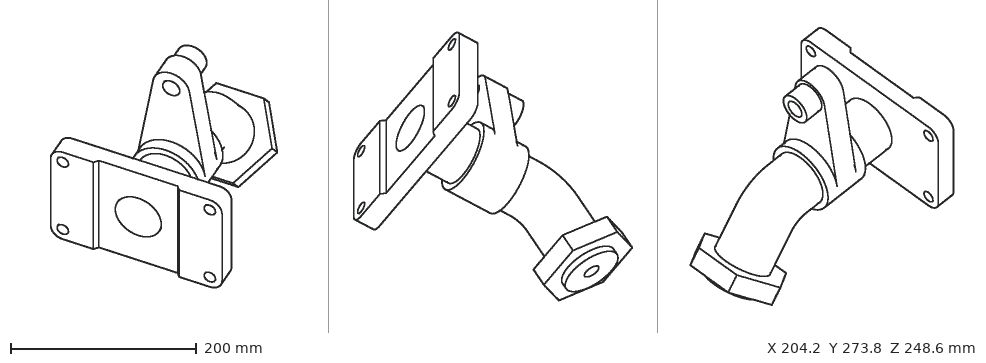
import cadquery as cq
import math

flange_width = 204.2
flange_height = 128.0
flange_thickness = 24.0
corner_radius = 14.5
bolt_hole_diameter = 13.5
bolt_span_x = flange_width - 2 * corner_radius
bolt_span_z = flange_height - 2 * corner_radius
channel_depth = 5.0
channel_floor_width = 93.5
channel_mouth_width = 102.5

pipe_radius = 33.0
straight_length = 152.5
bend_radius = 46.3
bend_angle = 52
tail_length = 82.7
socket_radius = 27.5
bore_radius = 9.0

hex_across_corners = 112.8
hex_thickness = 22.0
outlet_overhang = 7.5

collar_radius = 40.8
collar_start = 73.0
collar_length = 58.3
arm_thickness = 29.3
arm_start = collar_start + (collar_length - arm_thickness) / 2
arm_end = arm_start + arm_thickness
arm_tip_radius = 22.0
arm_tip_height = 119.5
boss_radius = 17.5
boss_length = 23.3
lever_hole_radius = 10.0

socket_depth = collar_start + collar_length

bend_radians = math.radians(bend_angle)
tail_y = straight_length + bend_radius * math.sin(bend_radians)
tail_z = -bend_radius * (1 - math.cos(bend_radians))
tail_direction = cq.Vector(0, math.cos(bend_radians), -math.sin(bend_radians))


def cylinder_y(radius, start, length, height=0):
    """Cylinder along +Y with its axis at the given Z height."""
    return cq.Workplane(
        cq.Solid.makeCylinder(radius, length, cq.Vector(0, start, height), cq.Vector(0, 1, 0))
    )


def bent_rod(radius):
    """Round rod that follows the centre line of the pipe."""
    straight = cylinder_y(radius, 0, straight_length)
    bend = (
        cq.Workplane("XZ", origin=(0, straight_length, 0))
        .circle(radius)
        .revolve(bend_angle, (2.7, -bend_radius), (-2.7, -bend_radius))
    )
    tail = cq.Solid.makeCylinder(radius, tail_length, cq.Vector(0, tail_y, tail_z), tail_direction)
    return straight.union(bend).union(cq.Workplane(tail))


def make_flange():
    """Rounded plate with four bolt holes and a vertical channel across its front face."""
    plate = (
        cq.Workplane("XZ")
        .rect(flange_width, flange_height)
        .extrude(-flange_thickness)
        .edges("|Y")
        .fillet(corner_radius)
    )
    bolt_holes = (
        cq.Workplane("XZ")
        .rect(bolt_span_x, bolt_span_z, forConstruction=True)
        .vertices()
        .circle(bolt_hole_diameter / 2)
        .extrude(-flange_thickness)
    )
    channel = (
        cq.Workplane("XY")
        .polyline([
            (-channel_mouth_width / 2, 0),
            (channel_mouth_width / 2, 0),
            (channel_floor_width / 2, channel_depth),
            (-channel_floor_width / 2, channel_depth),
        ])
        .close()
        .extrude(flange_height / 2, both=True)
    )
    return plate.cut(bolt_holes).cut(channel)


def make_hexagon():
    """Hexagonal collar around the pipe, with two corners pointing along X."""
    start = cq.Vector(0, tail_y, tail_z) + tail_direction * (tail_length - outlet_overhang - hex_thickness)
    plane = cq.Plane(origin=start, xDir=(1, 0, 0), normal=tail_direction)
    return cq.Workplane(plane).polygon(6, hex_across_corners).extrude(hex_thickness)


def make_pipe():
    """Flange, bent pipe and hexagon, with a wide socket leading into the narrow bore."""
    trim = cylinder_y(pipe_radius, 0, channel_depth)
    body = bent_rod(pipe_radius).cut(trim).union(make_flange()).union(make_hexagon())
    socket = cylinder_y(socket_radius, 0, socket_depth)
    return body.cut(socket).cut(bent_rod(bore_radius))


def make_lever():
    """Collar with a tapered arm whose sides are tangent to the collar and to the rounded tip."""
    slope = math.asin((collar_radius - arm_tip_radius) / arm_tip_height)
    root_x = collar_radius * math.cos(slope)
    root_z = collar_radius * math.sin(slope)
    tip_x = arm_tip_radius * math.cos(slope)
    tip_z = arm_tip_height + arm_tip_radius * math.sin(slope)
    arm = (
        cq.Workplane("XZ", origin=(0, arm_start, 0))
        .moveTo(-root_x, root_z)
        .lineTo(-tip_x, tip_z)
        .threePointArc((0, arm_tip_height + arm_tip_radius), (tip_x, tip_z))
        .lineTo(root_x, root_z)
        .threePointArc((0, -collar_radius), (-root_x, root_z))
        .close()
        .extrude(-arm_thickness)
    )
    boss = cylinder_y(boss_radius, arm_end, boss_length, arm_tip_height)
    hole = cylinder_y(lever_hole_radius, arm_start, arm_thickness + boss_length, arm_tip_height)
    pipe_hole = cylinder_y(pipe_radius, collar_start, collar_length)
    collar = cylinder_y(collar_radius, collar_start, collar_length)
    return collar.union(arm).union(boss).cut(hole).cut(pipe_hole)


pipe = make_pipe()
lever = make_lever()

result = cq.Compound.makeCompound([pipe.val(), lever.val()])